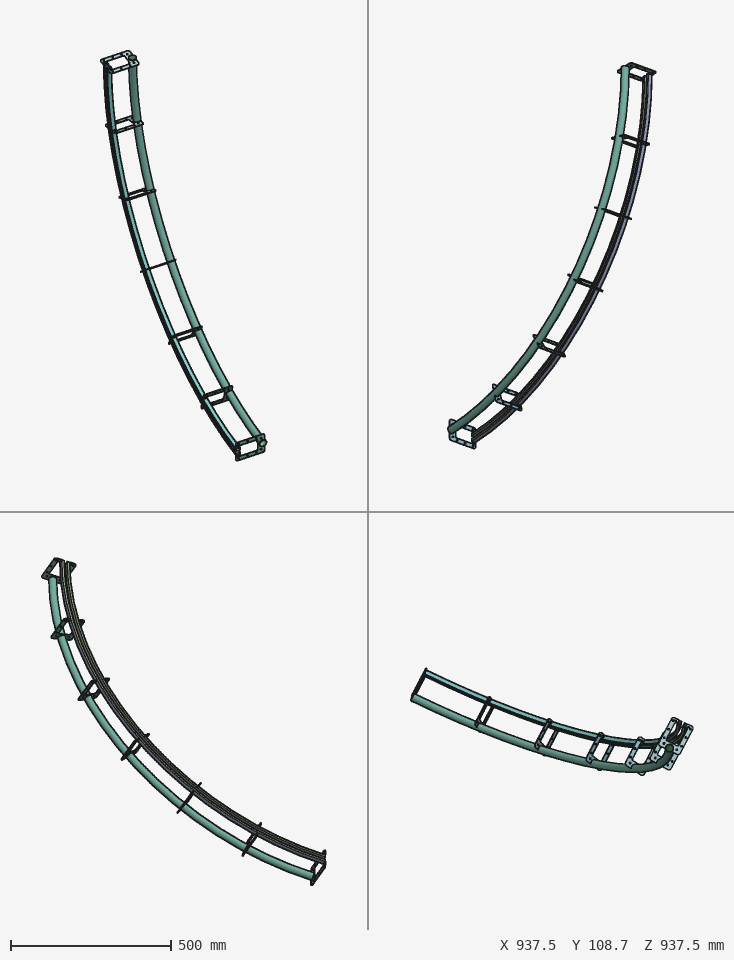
import cadquery as cq
track_radius = 900.0
sweep_angle = 90.0

plate_count = 7
plate_width = 75.0
plate_depth = 102.5
plate_thickness = 3.0
leg_width = 15.5
back_bar_depth = 25.0
foot_depth = 12.5
corner_fillet = 8.0
window_fillet = 4.0

rail_width = 10.0
rail_depth = 15.0
rail_wall = 1.5
rail_gap = 9.0
rail_front = 0.8

tube_diameter = 26.0
tube_wall = 2.0
tube_overhang = 6.2

hole_diameter = 5.0
leg_hole_offset = 30.25
leg_hole_count = 3
leg_hole_pitch = 31.0
first_leg_hole_y = 10.5
inner_hole_offset = 22.5
foot_hole_y = 8.0
back_hole_inset = 13.2

rail_spacing = rail_width + rail_gap
rail_y = rail_front + rail_depth / 2
tube_radius = tube_diameter / 2
tube_y = plate_depth + tube_overhang - tube_radius


def swept(profile):
    """Revolve a profile drawn in the XY plane round the Y axis, from -X to -Z."""
    return profile.revolve(sweep_angle, (0, 0, 0), (0, -1, 0))


def make_rail(radius):
    section = cq.Workplane("XY").moveTo(-radius, rail_y)
    outer = swept(section.rect(rail_width, rail_depth))
    bore = swept(section.rect(rail_width - 2 * rail_wall, rail_depth - 2 * rail_wall))
    return outer.cut(bore)


def make_tube():
    section = cq.Workplane("XY").moveTo(-track_radius, tube_y)
    outer = swept(section.circle(tube_radius))
    bore = swept(section.circle(tube_radius - tube_wall))
    return outer.cut(bore)


def plate_block(width, y_start, y_end):
    """A block of plate thickness on top of the XY plane, centred across the plate."""
    block = cq.Workplane("XY").box(width, y_end - y_start, plate_thickness, centered=(True, False, False))
    return block.translate((0, y_start, 0))


def make_flat_plate():
    plate = plate_block(plate_width, 0, plate_depth).edges("|Z").fillet(corner_fillet)

    window_width = plate_width - 2 * leg_width
    window = plate_block(window_width, foot_depth, plate_depth - back_bar_depth)
    plate = plate.cut(window.edges("|Z").fillet(window_fillet))

    plate = plate.cut(plate_block(rail_spacing + rail_width, 0, rail_front + rail_depth))

    seat = cq.Workplane("XY").moveTo(0, tube_y).circle(tube_radius)
    plate = plate.cut(seat.extrude(plate_thickness))

    hole_spots = []
    for side in (-1, 1):
        for row in range(leg_hole_count):
            hole_spots.append((side * leg_hole_offset, first_leg_hole_y + row * leg_hole_pitch))
        hole_spots.append((side * inner_hole_offset, foot_hole_y))
        hole_spots.append((side * inner_hole_offset, plate_depth - back_hole_inset))
    holes = cq.Workplane("XY").pushPoints(hole_spots).circle(hole_diameter / 2)
    return plate.cut(holes.extrude(plate_thickness))


def make_plates():
    """Space the plates evenly round the arc, the end ones flush with the rail ends."""
    flat_plate = make_flat_plate()
    last_index = plate_count - 1
    plates = []
    for index in range(plate_count):
        setback = plate_thickness if index < last_index else 0
        placed = flat_plate.translate((-track_radius, 0, -setback))
        plates.append(placed.rotate((0, 0, 0), (0, 1, 0), -sweep_angle * index / last_index))
    return plates


outer_rail = make_rail(track_radius + rail_spacing / 2)
inner_rail = make_rail(track_radius - rail_spacing / 2)
tube = make_tube()
plates = make_plates()

result = cq.Compound.makeCompound([body.val() for body in [outer_rail, inner_rail, tube, *plates]])